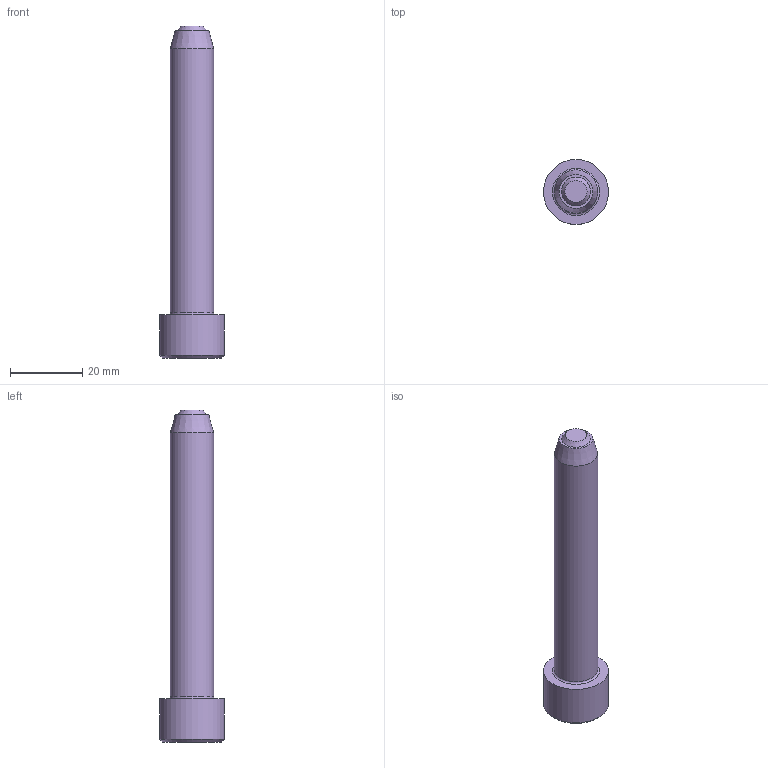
import cadquery as cq
import math

head_diameter = 18.0
head_height = 12.0
head_chamfer = 0.7

shank_diameter = 12.0
overall_length = 92.0
root_fillet = 0.5

lead_in_length = 5.0
lead_in_angle = 15.0
tip_base_diameter = 8.0
tip_end_diameter = 6.1
tip_height = 1.3

head_radius = head_diameter / 2
shank_radius = shank_diameter / 2
lead_in_top = overall_length - tip_height
lead_in_start = lead_in_top - lead_in_length
lead_in_end_radius = shank_radius - lead_in_length * math.tan(math.radians(lead_in_angle))


def make_head():
    head = cq.Workplane("XY").circle(head_radius).extrude(head_height)
    return head.faces("<Z").edges().chamfer(head_chamfer)


def make_shank_and_nose():
    """Revolve the half outline of the shank, root fillet, lead-in and tip."""
    fillet_mid = root_fillet * (1 - math.sqrt(0.5))
    outline = (
        cq.Workplane("XZ")
        .moveTo(0, head_height)
        .lineTo(shank_radius + root_fillet, head_height)
        .threePointArc(
            (shank_radius + fillet_mid, head_height + fillet_mid),
            (shank_radius, head_height + root_fillet),
        )
        .lineTo(shank_radius, lead_in_start)
        .lineTo(lead_in_end_radius, lead_in_top)
        .lineTo(tip_base_diameter / 2, lead_in_top)
        .lineTo(tip_end_diameter / 2, overall_length)
        .lineTo(0, overall_length)
        .close()
    )
    return outline.revolve(360, (0, 0, 0), (0, 1, 0))


result = make_head().union(make_shank_and_nose())